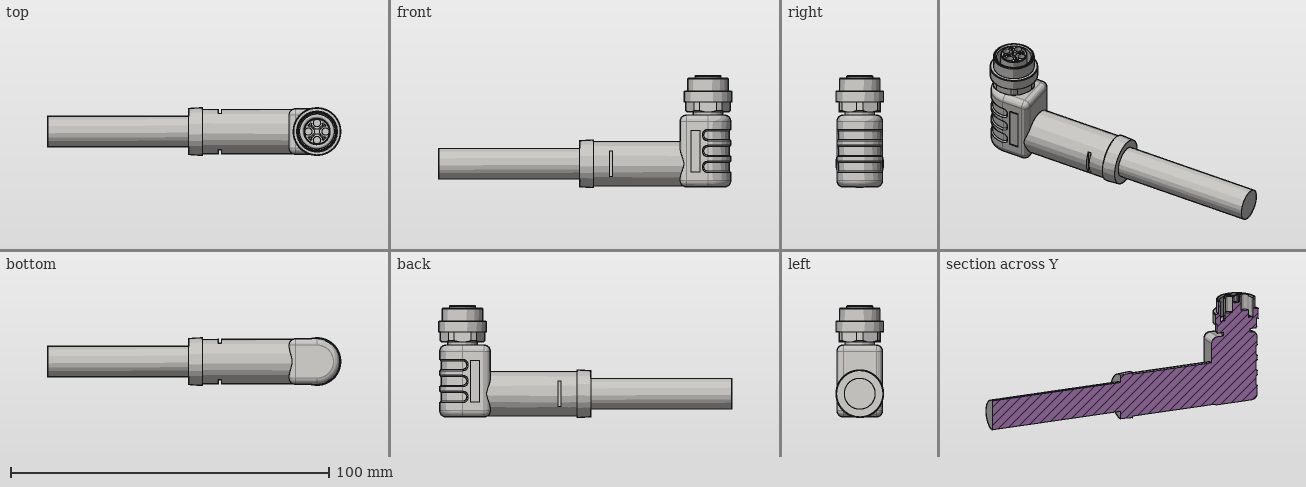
import cadquery as cq
import math


cable_diameter = 9.7
cable_end_x = -84.58
sleeve_diameter = 14.0
flare_diameter = 15.0
flare_end_diameter = 14.5
flare_bulge = 0.05
flare_end_x = -40.3
flare_shoulder_x = -36.0
notch_width = 1.0
notch_center_x = -30.5
notch_half_length = 4.0

body_radius = 7.18
body_back_x = -8.75
body_bottom_z = -7.3
body_top_z = 15.3
body_fillet = 2.0

groove_pitch = 5.0
groove_count = 3
groove_lowest_z = -1.0
groove_half_height = 1.8
groove_depth = 0.45
label_left_x = -5.4
label_right_x = -2.5
label_bottom_z = -2.6
label_top_z = 10.4
label_depth = 0.3

neck_diameter = 9.3
hex_bottom_z = 16.3
hex_across_flats = 13.0
hex_corner_diameter = 14.0
hex_corner_chamfer = 0.4
hex_turn = 30.0
collar_bottom_z = 19.4
collar_diameter = 15.0
collar_top_z = 22.8
collar_chamfer = 0.2
rim_top_z = 26.9
rim_diameter = 12.8
rim_outer_chamfer = (rim_diameter - 12.3) / 2
bore_diameter = 10.95
bore_chamfer = 0.4

insert_diameter = 8.3
insert_top_z = 27.7
insert_chamfer = 0.25
contact_hole_diameter = 2.3
contact_circle_radius = 2.7
contact_hole_depth = 5.0
contact_count = 4
shield_slot_width = 0.4
shield_slot_radius = 3.1
shield_bar_length = 1.2
shield_hub_size = 1.6
shield_slot_depth = 2.0
seal_edge_height = 0.6
seal_crown_height = 0.4


def cylinder_z(diameter, bottom, top):
    return cq.Workplane("XY").workplane(offset=bottom).circle(diameter / 2).extrude(top - bottom)


def cylinder_x(diameter, start, end):
    return cq.Workplane("YZ").workplane(offset=start).circle(diameter / 2).extrude(end - start)


def make_cable():
    cable = cylinder_x(cable_diameter, cable_end_x, 0)
    sleeve = cylinder_x(sleeve_diameter, flare_shoulder_x, body_back_x + body_fillet)
    flare_middle_x = (flare_end_x + flare_shoulder_x) / 2
    flare_middle_radius = (flare_diameter + flare_end_diameter) / 4 + flare_bulge
    flare = (
        cq.Workplane("XY")
        .moveTo(flare_end_x, 0)
        .lineTo(flare_end_x, flare_end_diameter / 2)
        .threePointArc((flare_middle_x, flare_middle_radius), (flare_shoulder_x, flare_diameter / 2))
        .lineTo(flare_shoulder_x, 0)
        .close()
        .revolve(360, (0, 0, 0), (1, 0, 0))
    )
    sleeve_radius = sleeve_diameter / 2
    notch_floor_y = math.sqrt(sleeve_radius**2 - notch_half_length**2)
    for side in (-1, 1):
        notch = cq.Workplane("XY").box(notch_width, sleeve_radius, sleeve_diameter)
        notch_center_y = side * (notch_floor_y + sleeve_radius / 2)
        sleeve = sleeve.cut(notch.translate((notch_center_x, notch_center_y, 0)))
    return cable.union(flare).union(sleeve)


def make_body():
    return (
        cq.Workplane("XY")
        .workplane(offset=body_bottom_z)
        .moveTo(body_back_x, -body_radius)
        .lineTo(0, -body_radius)
        .threePointArc((body_radius, 0), (0, body_radius))
        .lineTo(body_back_x, body_radius)
        .close()
        .extrude(body_top_z - body_bottom_z)
        .edges("|Z and <X")
        .fillet(body_fillet)
        .faces("<Z or >Z")
        .edges()
        .fillet(body_fillet)
    )


def make_groove(center_z):
    floor_radius = body_radius - groove_depth
    outer_radius = body_radius + groove_depth
    floor_half_height = groove_half_height - groove_depth
    outer_half_height = groove_half_height + groove_depth
    front = (
        cq.Workplane("XZ")
        .moveTo(floor_radius, -floor_half_height)
        .lineTo(outer_radius, -outer_half_height)
        .lineTo(outer_radius, outer_half_height)
        .lineTo(floor_radius, floor_half_height)
        .close()
        .revolve(360, (0, 0, 0), (0, 1, 0))
        .intersect(cq.Workplane("XY").box(outer_radius, 2 * outer_radius, 2 * outer_half_height)
                   .translate((outer_radius / 2, 0, 0)))
    )
    ends = (
        cq.Workplane("XY")
        .moveTo(0, floor_radius)
        .lineTo(-floor_half_height, floor_radius)
        .lineTo(-outer_half_height, outer_radius)
        .lineTo(0, outer_radius)
        .close()
        .revolve(360, (0, 0, 0), (0, 1, 0))
    )
    return front.union(ends).union(ends.mirror("XZ")).translate((0, 0, center_z))


def cut_label_recesses(body):
    width = label_right_x - label_left_x
    height = label_top_z - label_bottom_z
    center_x = (label_left_x + label_right_x) / 2
    center_z = (label_bottom_z + label_top_z) / 2
    recess = cq.Workplane("XY").box(width, 2 * label_depth, height)
    for side in (-1, 1):
        body = body.cut(recess.translate((center_x, side * body_radius, center_z)))
    return body


def make_nut():
    neck = cylinder_z(neck_diameter, body_top_z - body_fillet, hex_bottom_z)
    hex_height = collar_bottom_z - hex_bottom_z
    corner_round = cylinder_z(hex_corner_diameter, hex_bottom_z, collar_bottom_z)
    corner_round = corner_round.faces("<Z").chamfer(hex_corner_chamfer)
    hexagon = (
        cq.Workplane("XY")
        .workplane(offset=hex_bottom_z)
        .polygon(6, hex_across_flats, circumscribed=True)
        .extrude(hex_height)
        .rotate((0, 0, 0), (0, 0, 1), hex_turn)
        .intersect(corner_round)
    )
    collar = cylinder_z(collar_diameter, collar_bottom_z, collar_top_z).faces(">Z").chamfer(collar_chamfer)
    rim = cylinder_z(rim_diameter, collar_top_z, rim_top_z).faces(">Z").chamfer(rim_outer_chamfer)
    bore = cylinder_z(bore_diameter, collar_bottom_z, rim_top_z)
    sleeve = collar.union(rim).cut(bore)
    sleeve = sleeve.faces(">Z").edges(cq.selectors.RadiusNthSelector(0)).chamfer(bore_chamfer)
    return neck.union(hexagon).union(sleeve)


def insert_face():
    return cq.Workplane("XY").workplane(offset=insert_top_z)


def shield_cut(center_x, length, width):
    return insert_face().center(center_x, 0).rect(length, width).extrude(-shield_slot_depth)


def make_insert():
    insert = cylinder_z(insert_diameter, hex_bottom_z, insert_top_z).faces(">Z").chamfer(insert_chamfer)
    holes = (
        insert_face()
        .polarArray(contact_circle_radius, 0, 360, contact_count)
        .circle(contact_hole_diameter / 2)
        .extrude(-contact_hole_depth)
    )
    shield_slot = shield_cut(0, shield_hub_size, shield_hub_size)
    arm = shield_cut(shield_slot_radius / 2, shield_slot_radius, shield_slot_width)
    bar = shield_cut(shield_slot_radius, shield_slot_width, shield_bar_length)
    for index in range(contact_count):
        arm_angle = 45 + index * 360 / contact_count
        shield_slot = shield_slot.union(arm.union(bar).rotate((0, 0, 0), (0, 0, 1), arm_angle))
    return insert.cut(holes).cut(shield_slot)


def make_seal():
    inner_radius = insert_diameter / 2
    outer_radius = bore_diameter / 2
    crown_radius = (inner_radius + outer_radius) / 2
    edge_z = collar_bottom_z + seal_edge_height
    return (
        cq.Workplane("XZ")
        .moveTo(inner_radius, collar_bottom_z)
        .lineTo(outer_radius, collar_bottom_z)
        .lineTo(outer_radius, edge_z)
        .threePointArc((crown_radius, edge_z + seal_crown_height), (inner_radius, edge_z))
        .close()
        .revolve(360, (0, 0, 0), (0, 1, 0))
    )


body = make_body()
for groove_index in range(groove_count):
    body = body.cut(make_groove(groove_lowest_z + groove_index * groove_pitch))
body = cut_label_recesses(body)

result = body.union(make_cable()).union(make_nut()).union(make_insert()).union(make_seal())